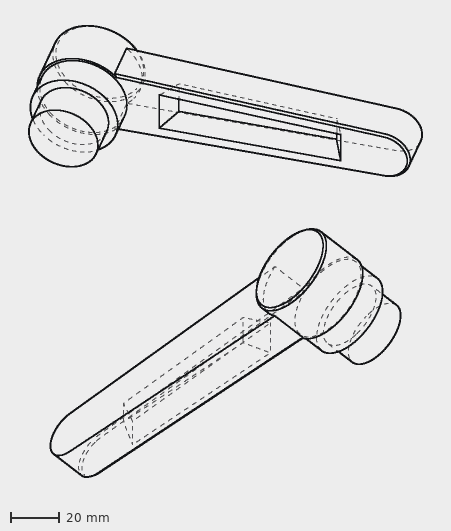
import cadquery as cq
import math

hub_diameter = 40.0
hub_length = 23.0
hub_chamfer = 1.0
collar_diameter = 38.0
collar_length = 13.1
pin_diameter = 30.0
pin_length = 15.0

overall_length = 161.5
arm_thickness = 18.0
arm_root_radius = 15.3
arm_tip_radius = 11.5
arm_chamfer = 1.0
tip_x = overall_length - hub_diameter / 2 - arm_tip_radius

pocket_start_x = 33.0
pocket_end_x = 111.6
pocket_start_half_height = 9.0
pocket_end_half_height = 7.1
pocket_depth = 11.0
end_wall_inset = 5.2
side_wall_inset = 1.5


def cylinder(diameter, y_start, length):
    """Cylinder about the hub axis, running toward +Y from y_start."""
    plane = cq.Workplane("XZ", origin=(0, y_start, 0))
    return plane.circle(diameter / 2).extrude(-length)


def make_hub():
    hub = cylinder(hub_diameter, 0, hub_length).faces(">Y").chamfer(hub_chamfer)
    collar = cylinder(collar_diameter, -collar_length, collar_length)
    pin = cylinder(pin_diameter, -collar_length - pin_length, pin_length)
    return hub.union(collar).union(pin)


def make_arm():
    taper = math.asin((arm_root_radius - arm_tip_radius) / tip_x)
    root_x = arm_root_radius * math.sin(taper)
    root_z = arm_root_radius * math.cos(taper)
    tangent_x = tip_x + arm_tip_radius * math.sin(taper)
    tangent_z = arm_tip_radius * math.cos(taper)
    arm = (
        cq.Workplane("XZ")
        .moveTo(root_x, -root_z)
        .lineTo(tangent_x, -tangent_z)
        .threePointArc((tip_x + arm_tip_radius, 0), (tangent_x, tangent_z))
        .lineTo(root_x, root_z)
        .close()
        .extrude(-arm_thickness)
    )
    return arm.faces("<Y").chamfer(arm_chamfer)


def pocket_outline(plane, end_inset, side_inset):
    """Symmetric trapezoid, drawn inside the pocket mouth by the given insets."""
    start_x = pocket_start_x + end_inset
    end_x = pocket_end_x - end_inset
    start_z = pocket_start_half_height - side_inset
    end_z = pocket_end_half_height - side_inset
    return plane.polyline(
        [(start_x, -start_z), (end_x, -end_z), (end_x, end_z), (start_x, start_z)]
    ).close()


def make_pocket():
    mouth = pocket_outline(cq.Workplane("XZ"), 0, 0)
    floor_plane = mouth.workplane(offset=-pocket_depth, origin=(0, 0, 0))
    return pocket_outline(floor_plane, end_wall_inset, side_wall_inset).loft(ruled=True)


result = make_arm().cut(make_pocket()).union(make_hub())